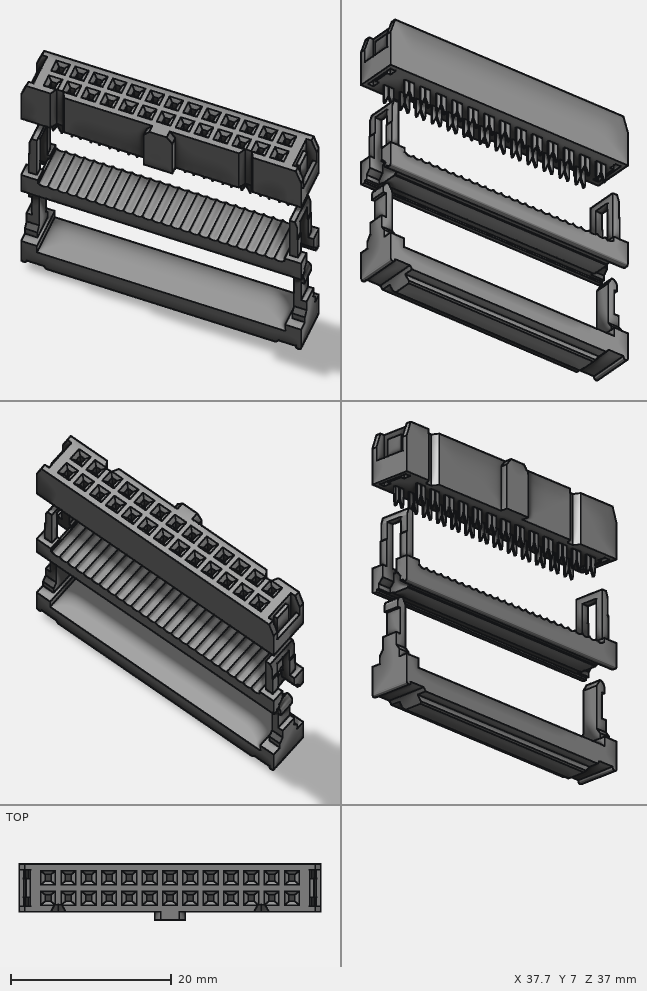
import cadquery as cq

LENGTH = 37.72
DEPTH = 6.0
HALF_LENGTH = LENGTH / 2
FRONT_Y = -DEPTH / 2
CONTACT_COLUMNS = 13
CONTACT_SPAN = 30.48
CONTACT_PITCH = CONTACT_SPAN / (CONTACT_COLUMNS - 1)
WIRE_COUNT = 2 * CONTACT_COLUMNS
WIRE_PITCH = CONTACT_PITCH / 2
FIRST_WIRE_X = -(WIRE_COUNT - 1) / 2 * WIRE_PITCH
ROW_Y = CONTACT_PITCH / 2
ARM_WIDTH = 4.53
LATCH_WIDTH = 2.35

RELIEF_BOTTOM_Z = 0.0
COVER_BOTTOM_Z = 15.1
HOUSING_TOP_Z = 37.0

HOUSING_HEIGHT = 7.0
HOUSING_BOTTOM_Z = HOUSING_TOP_Z - HOUSING_HEIGHT
END_CHAMFER_X = 0.7
END_CHAMFER_Z = 2.1
SHELF_WIDTH = 0.55
END_SLOT_REACH = 1.4
SHELF_Z = HOUSING_TOP_Z - 3.95
CATCH_REACH = 0.85
CATCH_TOP_Z = HOUSING_TOP_Z - 1.15
KEY_WIDTH = 3.85
KEY_DEPTH = 1.0
KEY_CHAMFER_X = 0.75
KEY_CHAMFER_Z = 0.98
GROOVE_DEPTH = 0.9
GROOVE_MOUTH = 1.9
GROOVE_FLOOR = 0.9
GROOVE_COLUMNS = (-5.5, 4.5)
FUNNEL_X = 1.85
FUNNEL_Y = 1.77
FUNNEL_DEPTH = 0.5
SOCKET_X = 0.75
SOCKET_Y = 0.83
SOCKET_DEPTH = 5.28

FORK_WIDTH = 1.47
FORK_SLIT = 0.15
FORK_THICKNESS = 0.25
FORK_LENGTH = 2.55
FORK_TAPER = 1.1
FORK_TIP_TAPER = 0.53
FORK_TIP_INSET = 0.1
FORK_TIP_WIDTH = 0.08

COVER_BLOCK_TOP_Z = COVER_BOTTOM_Z + 3.45
COVER_BLOCK_LENGTH = 2.25
RIB_PEAK_Z = COVER_BOTTOM_Z + 2.83
RIB_VALLEY_Z = COVER_BOTTOM_Z + 2.53
LEG_HEIGHT = 0.3
LEG_FILLET = 0.25
CROWN_WIDTH = 2.53
CROWN_HEIGHT = 0.15
COVER_ARM_TOP_Z = COVER_BOTTOM_Z + 10.45
COVER_ARM_SHOULDER_Z = COVER_BOTTOM_Z + 9.5
COVER_ARM_STEP_Z = COVER_BOTTOM_Z + 7.1
COVER_ARM_STEP_RISE = 0.15
COVER_ARM_OUTER = 0.7
COVER_ARM_UPPER_OUTER = 0.83
COVER_ARM_TOP_OUTER = 1.15
COVER_ARM_INNER = 1.85
CHANNEL_REACH = 2.0
CHANNEL_WIDTH = 2.38
CHANNEL_FOOT_WIDTH = 3.7
CHANNEL_FLARE_BOTTOM_Z = COVER_BOTTOM_Z + 0.98
CHANNEL_FLARE_TOP_Z = COVER_BOTTOM_Z + 1.7

RELIEF_FOOT_Z = RELIEF_BOTTOM_Z + 0.95
RELIEF_UNDERSIDE_Z = RELIEF_BOTTOM_Z + 1.4
RELIEF_FLOOR_Z = RELIEF_BOTTOM_Z + 3.77
RELIEF_BLOCK_TOP_Z = RELIEF_BOTTOM_Z + 5.05
RELIEF_BLOCK_LENGTH = 2.15
FOOT_WIDTH = 0.7
KEEL_TOP_LENGTH = 31.6
KEEL_BOTTOM_LENGTH = 29.35
KEEL_WIDTH = 3.13
KEEL_CHAMFER = 0.23
LATCH_FOOT_WIDTH = 3.47
LATCH_FLARE_BOTTOM_Z = RELIEF_BOTTOM_Z + 6.07
LATCH_FLARE_TOP_Z = RELIEF_BOTTOM_Z + 6.85
LATCH_LEDGE_Z = RELIEF_BOTTOM_Z + 8.55
LATCH_NECK_OUTER = 0.7
LATCH_INNER = 1.7
HOOK_BOTTOM_Z = RELIEF_BOTTOM_Z + 12.1
HOOK_INNER_Z = RELIEF_BOTTOM_Z + 12.75
HOOK_SPRING_Z = RELIEF_BOTTOM_Z + 12.98
HOOK_TOP_Z = RELIEF_BOTTOM_Z + 13.7
HOOK_OUTER = 0.3
HOOK_CREST = 1.15
HOOK_BULGE = 0.2


def box(x_range, y_range, z_range):
    """Box between two limits along each axis."""
    return (
        cq.Workplane("XY")
        .box(x_range[1] - x_range[0], y_range[1] - y_range[0], z_range[1] - z_range[0], centered=False)
        .translate((x_range[0], y_range[0], z_range[0]))
    )


def extrude_along_y(outline, width):
    """Extrude a closed XZ outline symmetrically about Y = 0."""
    return outline.extrude(width / 2, both=True)


def centered(width):
    return (-width / 2, width / 2)


def mirrored_pair(side):
    """A shape on one side of X = 0 together with its mirror image on the other side."""
    return side.union(side.mirror("YZ"))


def copies(shape, spots):
    """Copies of a shape moved to each XY spot, ready to add or cut in one step."""
    return cq.Compound.makeCompound([shape.val().moved(cq.Location((x, y, 0))) for x, y in spots])


def from_left_end(distance):
    return -HALF_LENGTH + distance


def housing_block():
    """Block with its upper end edges chamfered."""
    outline = (
        cq.Workplane("XZ")
        .moveTo(-HALF_LENGTH, HOUSING_BOTTOM_Z)
        .lineTo(-HALF_LENGTH, HOUSING_TOP_Z - END_CHAMFER_Z)
        .lineTo(-HALF_LENGTH + END_CHAMFER_X, HOUSING_TOP_Z)
        .lineTo(HALF_LENGTH - END_CHAMFER_X, HOUSING_TOP_Z)
        .lineTo(HALF_LENGTH, HOUSING_TOP_Z - END_CHAMFER_Z)
        .lineTo(HALF_LENGTH, HOUSING_BOTTOM_Z)
        .close()
    )
    return extrude_along_y(outline, DEPTH)


def polarizing_key():
    """Rib on the front face with chamfered upper corners."""
    half = KEY_WIDTH / 2
    return (
        cq.Workplane("XZ", origin=(0, FRONT_Y, 0))
        .moveTo(-half, HOUSING_BOTTOM_Z)
        .lineTo(-half, HOUSING_TOP_Z - KEY_CHAMFER_Z)
        .lineTo(-half + KEY_CHAMFER_X, HOUSING_TOP_Z)
        .lineTo(half - KEY_CHAMFER_X, HOUSING_TOP_Z)
        .lineTo(half, HOUSING_TOP_Z - KEY_CHAMFER_Z)
        .lineTo(half, HOUSING_BOTTOM_Z)
        .close()
        .extrude(KEY_DEPTH)
    )


def housing_end_slot():
    """Arm slot through the full height, open to the end above a shelf, with a catch left inside."""
    slot = box(
        (from_left_end(SHELF_WIDTH), from_left_end(END_SLOT_REACH)),
        centered(ARM_WIDTH),
        (HOUSING_BOTTOM_Z, HOUSING_TOP_Z),
    )
    opening = box(
        (-HALF_LENGTH, from_left_end(END_SLOT_REACH)),
        centered(ARM_WIDTH),
        (SHELF_Z, HOUSING_TOP_Z),
    )
    catch = box(
        (from_left_end(CATCH_REACH), from_left_end(END_SLOT_REACH)),
        centered(LATCH_WIDTH),
        (HOUSING_BOTTOM_Z, CATCH_TOP_Z),
    )
    return slot.union(opening).cut(catch)


def front_groove(x):
    """Full-height groove with slanted sides in the front face."""
    return (
        cq.Workplane("XY", origin=(x, FRONT_Y, HOUSING_BOTTOM_Z))
        .moveTo(-GROOVE_MOUTH / 2, 0)
        .lineTo(-GROOVE_FLOOR / 2, GROOVE_DEPTH)
        .lineTo(GROOVE_FLOOR / 2, GROOVE_DEPTH)
        .lineTo(GROOVE_MOUTH / 2, 0)
        .close()
        .extrude(HOUSING_HEIGHT)
    )


def contact_cavity():
    """Rectangular socket centred on the Z axis, with a funnel-shaped mouth."""
    funnel = (
        cq.Workplane("XY", origin=(0, 0, HOUSING_TOP_Z))
        .rect(FUNNEL_X, FUNNEL_Y)
        .workplane(offset=-FUNNEL_DEPTH)
        .rect(SOCKET_X, SOCKET_Y)
        .loft(ruled=True)
    )
    socket = (
        cq.Workplane("XY", origin=(0, 0, HOUSING_TOP_Z - SOCKET_DEPTH))
        .rect(SOCKET_X, SOCKET_Y)
        .extrude(SOCKET_DEPTH - FUNNEL_DEPTH)
    )
    return funnel.union(socket)


def contact_fork():
    """Flat two-pronged fork below the housing, centred on the Z axis."""
    tip_z = HOUSING_BOTTOM_Z - FORK_LENGTH
    tip_outer = FORK_WIDTH / 2 - FORK_TIP_INSET
    prong = (
        cq.Workplane("XZ")
        .moveTo(FORK_SLIT / 2, HOUSING_BOTTOM_Z)
        .lineTo(FORK_WIDTH / 2, HOUSING_BOTTOM_Z)
        .lineTo(FORK_WIDTH / 2, tip_z + FORK_TIP_TAPER)
        .lineTo(tip_outer, tip_z)
        .lineTo(tip_outer - FORK_TIP_WIDTH, tip_z)
        .lineTo(FORK_SLIT / 2, tip_z + FORK_TAPER)
        .close()
    )
    return mirrored_pair(extrude_along_y(prong, FORK_THICKNESS))


def make_housing():
    housing = housing_block().union(polarizing_key()).cut(mirrored_pair(housing_end_slot()))
    for column in GROOVE_COLUMNS:
        housing = housing.cut(front_groove(column * CONTACT_PITCH))
    cavity_spots = []
    for column in range(CONTACT_COLUMNS):
        x = -CONTACT_SPAN / 2 + column * CONTACT_PITCH
        cavity_spots += [(x, -ROW_Y), (x, ROW_Y)]
    fork_spots = []
    for wire in range(WIRE_COUNT):
        y = ROW_Y if wire % 2 == 0 else -ROW_Y
        fork_spots.append((FIRST_WIRE_X + wire * WIRE_PITCH, y))
    return housing.cut(copies(contact_cavity(), cavity_spots)).union(copies(contact_fork(), fork_spots))


def cover_body():
    """Strip with raised end blocks and one rounded trough per wire on its upper face."""
    block_inner = HALF_LENGTH - COVER_BLOCK_LENGTH
    first_peak = FIRST_WIRE_X - WIRE_PITCH / 2
    outline = (
        cq.Workplane("XZ")
        .moveTo(-HALF_LENGTH, COVER_BOTTOM_Z)
        .lineTo(-HALF_LENGTH, COVER_BLOCK_TOP_Z)
        .lineTo(-block_inner, COVER_BLOCK_TOP_Z)
        .lineTo(-block_inner, RIB_PEAK_Z)
        .lineTo(first_peak, RIB_PEAK_Z)
    )
    for wire in range(WIRE_COUNT):
        x = FIRST_WIRE_X + wire * WIRE_PITCH
        outline = outline.threePointArc((x, RIB_VALLEY_Z), (x + WIRE_PITCH / 2, RIB_PEAK_Z))
    outline = (
        outline.lineTo(block_inner, RIB_PEAK_Z)
        .lineTo(block_inner, COVER_BLOCK_TOP_Z)
        .lineTo(HALF_LENGTH, COVER_BLOCK_TOP_Z)
        .lineTo(HALF_LENGTH, COVER_BOTTOM_Z)
        .close()
    )
    return extrude_along_y(outline, DEPTH).edges("|X and <Z").fillet(LEG_FILLET)


def cover_underside_recess():
    """Full-length recess between the two legs, with a low crown left along its middle."""
    recess = box(centered(LENGTH), centered(ARM_WIDTH), (COVER_BOTTOM_Z, COVER_BOTTOM_Z + LEG_HEIGHT))
    crown = box(
        centered(LENGTH),
        centered(CROWN_WIDTH),
        (COVER_BOTTOM_Z + CROWN_HEIGHT, COVER_BOTTOM_Z + LEG_HEIGHT),
    )
    return recess.cut(crown)


def cover_arm():
    """Upright frame at the left end, before its window is cut."""
    outline = (
        cq.Workplane("XZ")
        .moveTo(from_left_end(COVER_ARM_INNER), COVER_BLOCK_TOP_Z)
        .lineTo(from_left_end(COVER_ARM_OUTER), COVER_BLOCK_TOP_Z)
        .lineTo(from_left_end(COVER_ARM_OUTER), COVER_ARM_STEP_Z)
        .lineTo(from_left_end(COVER_ARM_UPPER_OUTER), COVER_ARM_STEP_Z + COVER_ARM_STEP_RISE)
        .lineTo(from_left_end(COVER_ARM_UPPER_OUTER), COVER_ARM_SHOULDER_Z)
        .lineTo(from_left_end(COVER_ARM_TOP_OUTER), COVER_ARM_TOP_Z)
        .lineTo(from_left_end(COVER_ARM_INNER), COVER_ARM_TOP_Z)
        .close()
    )
    return extrude_along_y(outline, ARM_WIDTH)


def cover_channel():
    """Latch channel in the left end: flared foot, arm window and gap through the end block."""
    half = CHANNEL_WIDTH / 2
    foot_half = CHANNEL_FOOT_WIDTH / 2
    channel = (
        cq.Workplane("YZ", origin=(-HALF_LENGTH, 0, 0))
        .moveTo(-foot_half, COVER_BOTTOM_Z)
        .lineTo(-foot_half, CHANNEL_FLARE_BOTTOM_Z)
        .lineTo(-half, CHANNEL_FLARE_TOP_Z)
        .lineTo(-half, COVER_ARM_SHOULDER_Z)
        .lineTo(half, COVER_ARM_SHOULDER_Z)
        .lineTo(half, CHANNEL_FLARE_TOP_Z)
        .lineTo(foot_half, CHANNEL_FLARE_BOTTOM_Z)
        .lineTo(foot_half, COVER_BOTTOM_Z)
        .close()
        .extrude(CHANNEL_REACH)
    )
    block_gap = box(
        (-HALF_LENGTH, from_left_end(COVER_BLOCK_LENGTH)),
        centered(CHANNEL_WIDTH),
        (RIB_PEAK_Z, COVER_BLOCK_TOP_Z),
    )
    return channel.union(block_gap)


def make_cover():
    cover = cover_body().cut(cover_underside_recess())
    return cover.union(mirrored_pair(cover_arm())).cut(mirrored_pair(cover_channel()))


def relief_body():
    """Beam with raised end blocks, and a bevelled-end strip standing proud of its underside."""
    block_inner = HALF_LENGTH - RELIEF_BLOCK_LENGTH
    outline = (
        cq.Workplane("XZ")
        .moveTo(-HALF_LENGTH, RELIEF_UNDERSIDE_Z)
        .lineTo(-HALF_LENGTH, RELIEF_BLOCK_TOP_Z)
        .lineTo(-block_inner, RELIEF_BLOCK_TOP_Z)
        .lineTo(-block_inner, RELIEF_FLOOR_Z)
        .lineTo(block_inner, RELIEF_FLOOR_Z)
        .lineTo(block_inner, RELIEF_BLOCK_TOP_Z)
        .lineTo(HALF_LENGTH, RELIEF_BLOCK_TOP_Z)
        .lineTo(HALF_LENGTH, RELIEF_UNDERSIDE_Z)
        .close()
    )
    strip = bevelled_slab(DEPTH).intersect(
        box(centered(LENGTH), centered(DEPTH), (RELIEF_FOOT_Z, RELIEF_UNDERSIDE_Z))
    )
    return extrude_along_y(outline, DEPTH).union(strip)


def bevelled_slab(width):
    """Slab below the beam whose ends slope inward toward the bottom."""
    outline = (
        cq.Workplane("XZ")
        .moveTo(-KEEL_TOP_LENGTH / 2, RELIEF_UNDERSIDE_Z)
        .lineTo(KEEL_TOP_LENGTH / 2, RELIEF_UNDERSIDE_Z)
        .lineTo(KEEL_BOTTOM_LENGTH / 2, RELIEF_BOTTOM_Z)
        .lineTo(-KEEL_BOTTOM_LENGTH / 2, RELIEF_BOTTOM_Z)
        .close()
    )
    return extrude_along_y(outline, width)


def relief_keel():
    """Narrow keel under the beam with chamfered long edges."""
    return bevelled_slab(KEEL_WIDTH).edges("|X and <Z").chamfer(KEEL_CHAMFER)


def relief_foot():
    """Half-round foot across the left end."""
    radius = FOOT_WIDTH / 2
    spring_z = RELIEF_FOOT_Z + radius
    outline = (
        cq.Workplane("XZ")
        .moveTo(-HALF_LENGTH, RELIEF_UNDERSIDE_Z)
        .lineTo(-HALF_LENGTH, spring_z)
        .threePointArc((from_left_end(radius), RELIEF_FOOT_Z), (from_left_end(FOOT_WIDTH), spring_z))
        .lineTo(from_left_end(FOOT_WIDTH), RELIEF_UNDERSIDE_Z)
        .close()
    )
    return extrude_along_y(outline, DEPTH)


def latch_profile():
    """Side profile of the left latch, with a hook rounded outside and bevelled inside."""
    outline = (
        cq.Workplane("XZ")
        .moveTo(-HALF_LENGTH, RELIEF_BLOCK_TOP_Z)
        .lineTo(-HALF_LENGTH, LATCH_LEDGE_Z)
        .lineTo(from_left_end(LATCH_NECK_OUTER), LATCH_LEDGE_Z)
        .lineTo(from_left_end(LATCH_NECK_OUTER), HOOK_BOTTOM_Z)
        .lineTo(from_left_end(HOOK_OUTER), HOOK_BOTTOM_Z)
        .lineTo(from_left_end(HOOK_OUTER), HOOK_SPRING_Z)
        .sagittaArc((from_left_end(HOOK_CREST), HOOK_TOP_Z), HOOK_BULGE)
        .lineTo(from_left_end(LATCH_INNER), HOOK_INNER_Z)
        .lineTo(from_left_end(LATCH_INNER), RELIEF_BLOCK_TOP_Z)
        .close()
    )
    return extrude_along_y(outline, LATCH_FOOT_WIDTH)


def relief_latch():
    """Left latch: its side profile trimmed to a wide foot that flares in to a narrow stem."""
    half = LATCH_WIDTH / 2
    foot_half = LATCH_FOOT_WIDTH / 2
    end_outline = (
        cq.Workplane("YZ", origin=(-HALF_LENGTH, 0, 0))
        .moveTo(-foot_half, RELIEF_BLOCK_TOP_Z)
        .lineTo(-foot_half, LATCH_FLARE_BOTTOM_Z)
        .lineTo(-half, LATCH_FLARE_TOP_Z)
        .lineTo(-half, HOOK_TOP_Z)
        .lineTo(half, HOOK_TOP_Z)
        .lineTo(half, LATCH_FLARE_TOP_Z)
        .lineTo(foot_half, LATCH_FLARE_BOTTOM_Z)
        .lineTo(foot_half, RELIEF_BLOCK_TOP_Z)
        .close()
        .extrude(LATCH_INNER)
    )
    return latch_profile().intersect(end_outline)


def make_strain_relief():
    relief = relief_body().union(relief_keel())
    return relief.union(mirrored_pair(relief_foot())).union(mirrored_pair(relief_latch()))


housing = make_housing()
cover = make_cover()
strain_relief = make_strain_relief()

result = cq.Compound.makeCompound([housing.val(), cover.val(), strain_relief.val()])